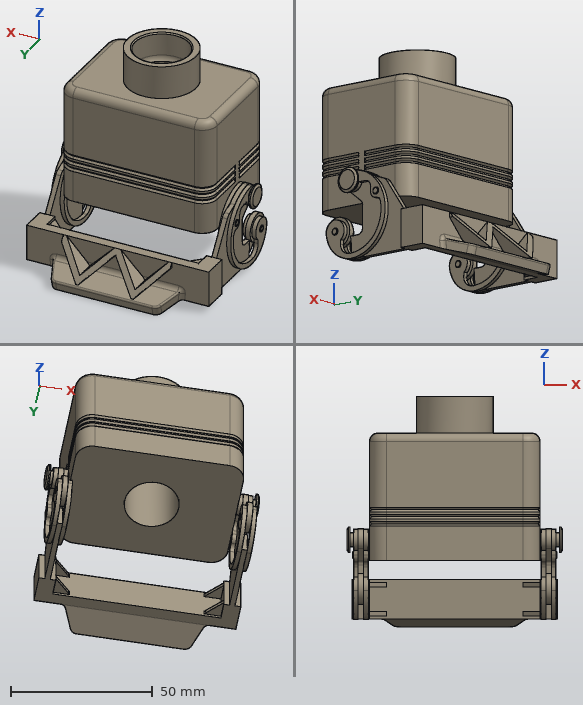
import cadquery as cq
import math


OVERALL_X = 76.0
OVERALL_Z = 81.3

HOOD_X = 60.2
HOOD_Y = 43.0
HOOD_Z = 45.0
HOOD_CORNER = 5.9
HOOD_TOP_ROUND = 3.0

NOZZLE_R = 13.6
BORE_R = 10.6
BORE_CHAMFER = 0.5
BORE_DEPTH = 9.0
PASSAGE_R = 9.7
STEP_HEIGHT = 2.0

GROOVE_COUNT = 3
GROOVE_TOP_Z = 18.0
GROOVE_PITCH = 2.5
GROOVE_HALF_HEIGHT = 0.8
GROOVE_DEPTH = 0.7
GROOVE_GAP = 3.0

LAYER_INNER = 30.5
LAYER_MID_IN = 32.1
LAYER_MID_OUT = 34.1
LAYER_OUTER = 35.7

PIN_Z = 7.3
PIN_R = 2.5
PIN_END_X = OVERALL_X / 2
HEAD_R = 4.55
HEAD_THICK = 1.1
HEAD_CHAMFER_X = 0.6
HEAD_CHAMFER_R = 1.0

HUB_R = 3.75
SPRING_R = 15.9
SPRING_INNER_R = 14.0
BOSS_Y = 11.55
BOSS_Z = 1.95
BOSS_R = 2.4
SHOULDER_Z = 6.35
HOOK_Y = -7.5
HOOK_Z = -10.0
HOOK_R = 4.2
HOOK_NECK_ANGLE = -51
THROAT_R = 3.9
THROAT_ANGLE = -96
ROLLER_R = 5.45
RIVET_R = 1.3
RIVET_PROUD = 0.3
RIVET_CHAMFER = 0.25

FRAME_HALF_X = 36.2
FRAME_TOP = -6.7
FRAME_BOTTOM = -20.65
BAR_BACK_Y = 33.75
BAR_FRONT_Y = 29.8
ARM_END_Y = 23.7
ARM_INNER_X = HOOD_X / 2
GUSSET_LEG = 6.0
GUSSET_THICK = 1.55
GUSSET_TOPS = (-7.7, -18.05)

PLATE_HUB_R = 3.9
PLATE_RIM_R = SPRING_R + PLATE_HUB_R - HUB_R
PLATE_RIM_END_ANGLE = 53
NOTCH_Y = 3.9
NOTCH_TOP = -0.7
NOTCH_BOTTOM = -12.2
NOTCH_ROUND = 2.1
NOTCH_TOP_ROUND = 1.6
SHOULDER_START = (13.9, 6.4)
SHOULDER_MIDDLE = (14.8, 5.85)
SHOULDER_END = (15.45, 5.1)
PLATE_TIP_Y = -1.6
PLATE_FOOT_Y = -1.05

HANDLE_TILT = 16
HANDLE_LENGTH = 10.2
HANDLE_THICK = 3.75
HANDLE_ROOT_HALF = 25.2
HANDLE_TIP_HALF = 21.1
HANDLE_EMBED = 2.4
HANDLE_CORNER = 2.85
HANDLE_EDGE_ROUND = 0.65
HANDLE_ROOT_ROUND = 2.0

BRACE_DROP = 9.75
BRACE_CREST_HALF = 1.2
BRACE_OUTER_CREST_X = 20.3
BRACE_END_X = 21.55
BRACE_WEB = 3.2
BRACE_REACH = 10.1
BRACE_SLOPE = 51

GRIP_TIP_Z = FRAME_BOTTOM - HANDLE_LENGTH * math.sin(math.radians(HANDLE_TILT))
NOZZLE_TOP = OVERALL_Z + GRIP_TIP_Z
SPRING_CENTRE = (0, PIN_Z + HUB_R - SPRING_R)


def polar(centre, radius, degrees):
    """Point on a circle in the YZ plane; 0 degrees points to +Y."""
    angle = math.radians(degrees)
    return (centre[0] + radius * math.cos(angle), centre[1] + radius * math.sin(angle))


def arc_to(path, centre, radius, start, end):
    """Add a circular arc between two angles; the path already stands at the start."""
    middle = polar(centre, radius, (start + end) / 2)
    return path.threePointArc(middle, polar(centre, radius, end))


def side_plane(x):
    """Sketch plane facing +X at the given X; its axes are Y and Z."""
    return cq.Workplane("YZ", origin=(x, 0, 0))


def disc(centre, radius, x_start, x_end):
    return side_plane(x_start).center(*centre).circle(radius).extrude(x_end - x_start)


def rounded_rectangle(z, inset):
    """Outline of the hood moved inward, as a sketch at height z."""
    sketch = (
        cq.Sketch()
        .rect(HOOD_X - 2 * inset, HOOD_Y - 2 * inset)
        .vertices()
        .fillet(HOOD_CORNER - inset)
    )
    return cq.Workplane("XY", origin=(0, 0, z)).placeSketch(sketch)


def groove(z):
    """V groove around the hood, interrupted in the middle of both end walls."""
    margin = 1.6
    flare = math.degrees(math.atan2(GROOVE_DEPTH, GROOVE_HALF_HEIGHT))
    band = (
        cq.Workplane("XY", origin=(0, 0, z))
        .box(HOOD_X + margin, HOOD_Y + margin, 2 * GROOVE_HALF_HEIGHT)
    )
    waist = rounded_rectangle(z, GROOVE_DEPTH)
    core_top = waist.extrude(GROOVE_HALF_HEIGHT, taper=-flare)
    core_bottom = core_top.mirror("XY", (0, 0, z))
    gap = cq.Workplane("XY", origin=(0, 0, z)).box(
        HOOD_X + 2 * margin, GROOVE_GAP, 2 * GROOVE_HALF_HEIGHT
    )
    return band.cut(core_top).cut(core_bottom).cut(gap)


def make_hood():
    body = rounded_rectangle(0, 0).extrude(HOOD_Z)
    body = body.faces(">Z").edges().fillet(HOOD_TOP_ROUND)
    for index in range(GROOVE_COUNT):
        body = body.cut(groove(GROOVE_TOP_Z - index * GROOVE_PITCH))
    nozzle = cq.Workplane("XY").circle(NOZZLE_R).extrude(NOZZLE_TOP)
    bore_bottom = NOZZLE_TOP - BORE_DEPTH
    passage = (
        cq.Workplane("XZ")
        .moveTo(0, NOZZLE_TOP)
        .lineTo(BORE_R + BORE_CHAMFER, NOZZLE_TOP)
        .lineTo(BORE_R, NOZZLE_TOP - BORE_CHAMFER)
        .lineTo(BORE_R, bore_bottom)
        .tangentArcPoint((PASSAGE_R, bore_bottom - STEP_HEIGHT), relative=False)
        .lineTo(PASSAGE_R, 0)
        .lineTo(0, 0)
        .close()
        .revolve(360, (0, 0, 0), (0, 1, 0))
    )
    return body.union(nozzle).cut(passage)


def make_pin():
    head_start = PIN_END_X - HEAD_THICK
    rim_end = PIN_END_X - HEAD_CHAMFER_X
    wall_overlap = 0.8
    return (
        cq.Workplane("XY", origin=(0, 0, PIN_Z))
        .moveTo(HOOD_X / 2 - wall_overlap, 0)
        .lineTo(HOOD_X / 2 - wall_overlap, PIN_R)
        .lineTo(head_start, PIN_R)
        .lineTo(head_start, HEAD_R)
        .lineTo(rim_end, HEAD_R)
        .lineTo(PIN_END_X, HEAD_R - HEAD_CHAMFER_R)
        .lineTo(PIN_END_X, 0)
        .close()
        .revolve(360, (0, 0, 0), (1, 0, 0))
    )


def make_spring(x_start, x_end):
    """Crescent plate that runs from the pin hub, round the bottom, to the hook."""
    hub = (0, PIN_Z)
    hook = (HOOK_Y, HOOK_Z)
    boss = (BOSS_Y, BOSS_Z)

    bottom_z = SPRING_CENTRE[1] - SPRING_R
    rise = HOOK_Z - bottom_z
    tail_r = (HOOK_Y**2 + rise**2 - HOOK_R**2) / (2 * (rise - HOOK_R))
    tail = (0, bottom_z + tail_r)
    tail_angle = math.degrees(math.atan2(HOOK_Z - tail[1], HOOK_Y))

    throat = polar(SPRING_CENTRE, SPRING_INNER_R - THROAT_R, THROAT_ANGLE)

    drop = BOSS_Z - BOSS_R - SPRING_CENTRE[1]
    hollow_r = (SPRING_INNER_R**2 - BOSS_Y**2 - drop**2) / (2 * (SPRING_INNER_R - drop))
    hollow = (BOSS_Y, BOSS_Z - BOSS_R - hollow_r)
    hollow_angle = math.degrees(math.atan2(hollow[1] - SPRING_CENTRE[1], hollow[0]))

    upper = (BOSS_Y - 2 * BOSS_R, SHOULDER_Z - BOSS_R)
    hub_angle = math.degrees(math.asin((SHOULDER_Z - PIN_Z) / HUB_R))

    path = side_plane(x_start).moveTo(*polar(hub, HUB_R, 90))
    path = arc_to(path, SPRING_CENTRE, SPRING_R, 90, -90)
    path = arc_to(path, tail, tail_r, -90, tail_angle)
    path = arc_to(path, hook, HOOK_R, tail_angle, HOOK_NECK_ANGLE - 360)
    path = path.lineTo(*polar(throat, THROAT_R, -180))
    path = arc_to(path, throat, THROAT_R, -180, THROAT_ANGLE)
    path = arc_to(path, SPRING_CENTRE, SPRING_INNER_R, THROAT_ANGLE, hollow_angle)
    path = arc_to(path, hollow, hollow_r, hollow_angle, 90)
    path = arc_to(path, boss, BOSS_R, -90, -180)
    path = path.lineTo(*polar(upper, BOSS_R, 0))
    path = arc_to(path, upper, BOSS_R, 0, 90)
    path = path.lineTo(*polar(hub, HUB_R, hub_angle))
    path = arc_to(path, hub, HUB_R, hub_angle, -270)
    return path.close().extrude(x_end - x_start)


def make_rivet(centre):
    rivet = disc(centre, RIVET_R, LAYER_INNER - RIVET_PROUD, LAYER_OUTER + RIVET_PROUD)
    return rivet.faces("<X or >X").chamfer(RIVET_CHAMFER)


def make_centre_plate():
    """Plate between the springs, from the pin hub to the frame arm."""
    hub = (0, PIN_Z)
    notch_drop = PIN_Z - NOTCH_TOP
    hub_angle = math.degrees(
        math.atan2(-notch_drop, NOTCH_Y)
        - math.acos(PLATE_HUB_R / math.hypot(NOTCH_Y, notch_drop))
    )
    notch_corner = (NOTCH_Y - NOTCH_ROUND, NOTCH_BOTTOM + NOTCH_ROUND)

    path = side_plane(LAYER_MID_IN).moveTo(*polar(hub, PLATE_HUB_R, 90))
    path = arc_to(path, SPRING_CENTRE, PLATE_RIM_R, 90, PLATE_RIM_END_ANGLE)
    path = path.lineTo(*SHOULDER_START).threePointArc(SHOULDER_MIDDLE, SHOULDER_END)
    path = path.lineTo(ARM_END_Y, FRAME_TOP).lineTo(ARM_END_Y, FRAME_BOTTOM)
    path = path.lineTo(PLATE_FOOT_Y, FRAME_BOTTOM).lineTo(PLATE_TIP_Y, NOTCH_BOTTOM)
    path = path.lineTo(NOTCH_Y - NOTCH_ROUND, NOTCH_BOTTOM)
    path = arc_to(path, notch_corner, NOTCH_ROUND, -90, 0)
    path = path.lineTo(NOTCH_Y, NOTCH_TOP).lineTo(*polar(hub, PLATE_HUB_R, hub_angle))
    path = arc_to(path, hub, PLATE_HUB_R, hub_angle, -270)
    plate = path.close().extrude(LAYER_MID_OUT - LAYER_MID_IN)
    notch_edge = cq.selectors.NearestToPointSelector((LAYER_MID_IN, NOTCH_Y, NOTCH_TOP))
    return plate.edges("|X").edges(notch_edge).fillet(NOTCH_TOP_ROUND)


def make_side():
    """Everything on the +X side: centre plate, pin, springs, roller and rivets."""
    hook = (HOOK_Y, HOOK_Z)
    side = make_centre_plate().union(make_pin())
    side = side.union(make_spring(LAYER_INNER, LAYER_MID_IN))
    side = side.union(make_spring(LAYER_MID_OUT, LAYER_OUTER))
    side = side.union(disc(hook, ROLLER_R, LAYER_MID_IN, LAYER_MID_OUT))
    for centre in (hook, (BOSS_Y, BOSS_Z)):
        side = side.union(make_rivet(centre))
    return side


def make_gusset(top_z):
    return (
        cq.Workplane("XY", origin=(0, 0, top_z))
        .moveTo(ARM_INNER_X, BAR_FRONT_Y)
        .lineTo(ARM_INNER_X - GUSSET_LEG, BAR_FRONT_Y)
        .lineTo(ARM_INNER_X, BAR_FRONT_Y - GUSSET_LEG)
        .close()
        .extrude(-GUSSET_THICK)
    )


def make_frame():
    """U-shaped frame with gussets in its corners."""
    frame = (
        cq.Workplane("XY", origin=(0, 0, FRAME_BOTTOM))
        .moveTo(-FRAME_HALF_X, BAR_BACK_Y)
        .lineTo(FRAME_HALF_X, BAR_BACK_Y)
        .lineTo(FRAME_HALF_X, ARM_END_Y)
        .lineTo(ARM_INNER_X, ARM_END_Y)
        .lineTo(ARM_INNER_X, BAR_FRONT_Y)
        .lineTo(-ARM_INNER_X, BAR_FRONT_Y)
        .lineTo(-ARM_INNER_X, ARM_END_Y)
        .lineTo(-FRAME_HALF_X, ARM_END_Y)
        .close()
        .extrude(FRAME_TOP - FRAME_BOTTOM)
    )
    for top_z in GUSSET_TOPS:
        gusset = make_gusset(top_z)
        frame = frame.union(gusset).union(gusset.mirror("YZ"))
    return frame


def make_grip():
    """Tilted grip plate; it leaves the lower back edge of the frame."""
    tilt = math.radians(HANDLE_TILT)
    plane = cq.Plane(
        origin=(0, BAR_BACK_Y, FRAME_BOTTOM),
        xDir=(1, 0, 0),
        normal=(0, math.sin(tilt), math.cos(tilt)),
    )
    side_slope = (HANDLE_ROOT_HALF - HANDLE_TIP_HALF) / HANDLE_LENGTH
    buried_half = HANDLE_ROOT_HALF + side_slope * HANDLE_EMBED
    grip = (
        cq.Workplane(plane)
        .moveTo(-buried_half, -HANDLE_EMBED)
        .lineTo(buried_half, -HANDLE_EMBED)
        .lineTo(HANDLE_TIP_HALF, HANDLE_LENGTH)
        .lineTo(-HANDLE_TIP_HALF, HANDLE_LENGTH)
        .close()
        .extrude(HANDLE_THICK)
    )
    tip_corners = cq.selectors.ParallelDirSelector(plane.zDir)
    grip = grip.edges(tip_corners).edges(">Y").fillet(HANDLE_CORNER)
    top_face = cq.selectors.DirectionMinMaxSelector(plane.zDir, True)
    return grip.faces(top_face).edges().fillet(HANDLE_EDGE_ROUND)


def make_braces():
    """Zigzag web between the frame and the grip, cut off along a slope."""
    embed = 0.8
    valley_x = BRACE_CREST_HALF + BRACE_DROP
    valley_z = FRAME_TOP - BRACE_DROP
    lower_crest_z = FRAME_TOP + BRACE_CREST_HALF - BRACE_WEB
    half = [
        (0, FRAME_TOP),
        (BRACE_CREST_HALF, FRAME_TOP),
        (valley_x, valley_z),
        (BRACE_OUTER_CREST_X, FRAME_TOP),
        (BRACE_END_X, FRAME_TOP),
        (BRACE_END_X, lower_crest_z),
        (valley_x, valley_z - BRACE_WEB),
        (0, lower_crest_z),
    ]
    web = (
        cq.Workplane("XZ", origin=(0, BAR_BACK_Y - embed, 0))
        .polyline(half)
        .close()
        .extrude(-BRACE_REACH - embed)
    )
    web = web.union(web.mirror("YZ"))
    fall = BRACE_REACH * math.tan(math.radians(BRACE_SLOPE))
    envelope = (
        side_plane(-BRACE_END_X)
        .moveTo(BAR_BACK_Y - embed, FRAME_TOP)
        .lineTo(BAR_BACK_Y, FRAME_TOP)
        .lineTo(BAR_BACK_Y + BRACE_REACH, FRAME_TOP - fall)
        .lineTo(BAR_BACK_Y - embed, FRAME_TOP - fall)
        .close()
        .extrude(2 * BRACE_END_X)
    )
    return web.intersect(envelope)


def make_lever_body():
    body = make_frame().union(make_grip())
    near = 0.04
    root_edges = cq.selectors.BoxSelector(
        (-FRAME_HALF_X + near, BAR_BACK_Y - near, FRAME_BOTTOM + near),
        (FRAME_HALF_X - near, BAR_BACK_Y + near, FRAME_TOP - near),
    )
    body = body.edges(root_edges).fillet(HANDLE_ROOT_ROUND)
    return body.union(make_braces())


side = make_side()
result = make_hood().union(make_lever_body()).union(side).union(side.mirror("YZ"))